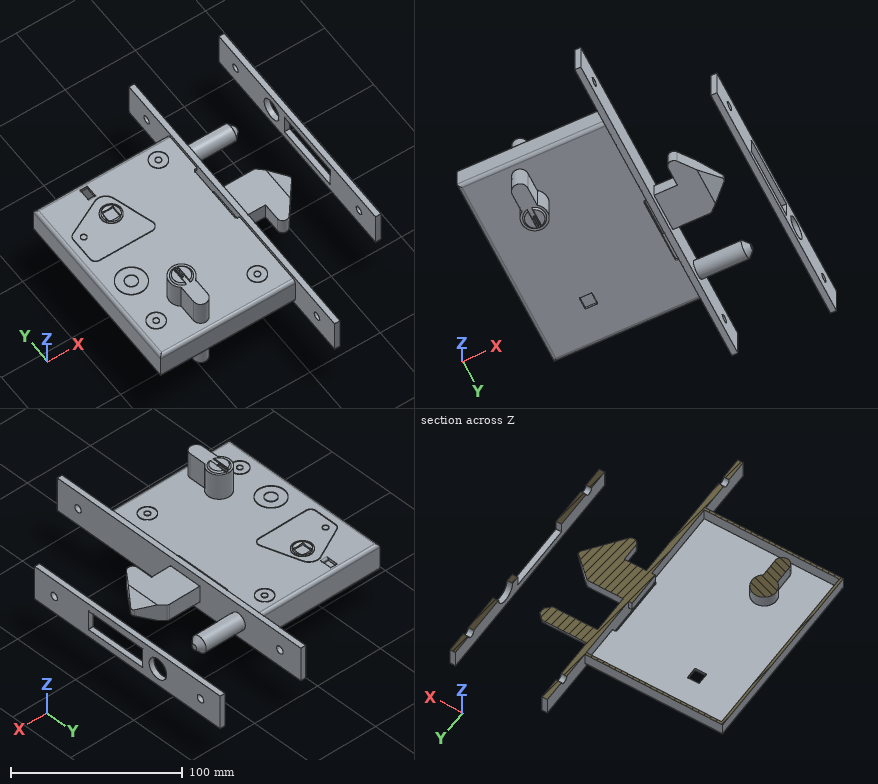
import cadquery as cq
import math


plate_thickness = 4.0
plate_width = 25.0
plate_hole_diameter = 5.5
faceplate_length = 210.0
faceplate_hole_inset = 18.0
strike_length = 160.0
strike_hole_inset = 17.0
strike_bolt_diameter = 15.0
strike_slot_top = 38.0
strike_slot_length = 46.6
strike_slot_width = 14.0
overall_length = 164.0

case_depth = 96.0
case_height = 129.8
case_thickness = 20.2
case_edge_radius = 2.3
wall = 2.0
case_top = case_thickness / 2
recess_depth = 0.52

notch_depth = 2.5
notch_top = 35.3
notch_bottom = -8.0
notch_corner_radius = 1.0

bolt_diameter = 12.0
bolt_y = 51.2
bolt_tip_x = 135.0
bolt_chamfer = 4.0
hook_thickness = 12.0
hook_top = 18.0
hook_bottom = -7.1
hook_shoulder_x = 125.0
hook_tip = (141.1, 3.4)
hook_toe = (115.0, -30.2)
hook_shoulder_radius = 2.0
hook_tip_radius = 2.0
hook_toe_radius = 3.8
hook_bevel_start_x = 129.8
hook_bevel_angle = 20.0

spindle_x = 36.0
spindle_y = 37.0
spindle_square = 8.0
hub_diameter = 14.0
hub_countersink_diameter = 12.0
hub_countersink_depth = 1.0
cover_left = 7.0
cover_bottom = 13.0
cover_side_top = 36.5
cover_crown = (40.7, 53.5)
cover_right = 54.0
cover_corner_radius = 4.0
cover_crown_radius = 7.4
cover_rivet_center = (13.0, 32.1)
rivet_diameter = 4.0
screw_diameter = 12.0
screw_centers = [(80.8, 53.1), (80.8, -47.9), (13.0, -41.8)]
cap_center = (17.6, -9.9)
cap_diameter = 20.0
cap_boss_diameter = 8.5
pocket_left = 30.7
pocket_bottom = 53.5
pocket_width = 5.0
pocket_height = 7.5
pocket_edge_radius = 1.3

cylinder_x = spindle_x
cylinder_y = -34.9
cylinder_diameter = 17.0
cylinder_leg_width = 10.0
cylinder_profile_height = 33.0
cylinder_length = 57.3
plug_diameter = 14.0
plug_height = 1.0
plug_slot_width = 3.0
keyway_width = 1.3
keyway_length = 8.2
keyway_depth = 2.0


def block(x_min, x_max, y_min, y_max, z_min, z_max):
    return cq.Workplane("XY").box(
        x_max - x_min, y_max - y_min, z_max - z_min, centered=False
    ).translate((x_min, y_min, z_min))


def plate(x_min, y_min, length, hole_inset):
    """Flat upright plate with a screw hole near each end."""
    half_width = plate_width / 2
    body = block(x_min, x_min + plate_thickness, y_min, y_min + length, -half_width, half_width)
    for hole_y in (y_min + hole_inset, y_min + length - hole_inset):
        body = body.cut(rod_along_x(plate_hole_diameter, x_min, x_min + plate_thickness, hole_y))
    return body


def rod_along_x(diameter, x_min, x_max, y):
    return cq.Workplane("YZ", origin=(x_min, y, 0)).circle(diameter / 2).extrude(x_max - x_min)


def make_strike_plate():
    x_min = overall_length - plate_thickness
    y_max = faceplate_length / 2
    strike = plate(x_min, y_max - strike_length, strike_length, strike_hole_inset)
    bolt_hole = rod_along_x(strike_bolt_diameter, x_min, overall_length, bolt_y)
    hook_slot = block(
        x_min, overall_length,
        strike_slot_top - strike_slot_length, strike_slot_top,
        -strike_slot_width / 2, strike_slot_width / 2,
    )
    return strike.cut(bolt_hole).cut(hook_slot)


def make_case():
    """Hollow case with rounded long edges on its top and bottom, notched beside the faceplate."""
    half_height = case_height / 2
    case = block(0, case_depth, -half_height, half_height, -case_top, case_top)
    case = case.faces("|Z").edges("not(>X)").fillet(case_edge_radius)
    notch = block(
        case_depth - notch_depth, case_depth, notch_bottom, notch_top, -case_top, case_top
    ).edges("<X and |Z").fillet(notch_corner_radius)
    cavity = block(wall, case_depth, wall - half_height, half_height - wall, wall - case_top, case_top - wall)
    return case.cut(cavity).cut(notch)


def make_bolt():
    bolt = rod_along_x(bolt_diameter, case_depth, bolt_tip_x, bolt_y)
    return bolt.faces(">X").chamfer(bolt_chamfer)


def make_hook():
    """Flat hook with rounded corners, whose point is bevelled on both sides."""
    root_x = case_depth - notch_depth
    corners = [
        (root_x, hook_top),
        (hook_shoulder_x, hook_top),
        hook_tip,
        hook_toe,
        (hook_toe[0], hook_bottom),
        (root_x, hook_bottom),
    ]
    half = hook_thickness / 2
    hook = cq.Workplane("XY").workplane(offset=-half).polyline(corners).close().extrude(hook_thickness)
    rounded = [
        ((hook_shoulder_x, hook_top), hook_shoulder_radius),
        (hook_tip, hook_tip_radius),
        (hook_toe, hook_toe_radius),
    ]
    for (x, y), radius in rounded:
        hook = hook.edges(cq.NearestToPointSelector((x, y, 0))).fillet(radius)

    bevel_length = hook_tip[0] - hook_bevel_start_x
    tip_half = half - bevel_length * math.tan(math.radians(hook_bevel_angle))
    side_outline = [
        (root_x, half),
        (hook_bevel_start_x, half),
        (hook_tip[0], tip_half),
        (hook_tip[0], -tip_half),
        (hook_bevel_start_x, -half),
        (root_x, -half),
    ]
    bevelled = (
        cq.Workplane("XZ").polyline(side_outline).close().extrude(case_height / 2, both=True)
    )
    return hook.intersect(bevelled)


def disc(center, diameter):
    """Shallow disc that fills a recess up to the top of the case."""
    return (
        cq.Workplane("XY", origin=(*center, case_top - recess_depth))
        .circle(diameter / 2)
        .extrude(recess_depth)
    )


def add_ringed_boss(lock, center, outer_diameter, boss_diameter):
    return lock.cut(disc(center, outer_diameter)).union(disc(center, boss_diameter))


def add_spindle_cover(lock):
    """Recessed four-sided cover with a rivet, a hub and the square spindle hole."""
    corners = [
        (cover_left, cover_bottom),
        (cover_left, cover_side_top),
        cover_crown,
        (cover_right, cover_bottom),
    ]
    recess = (
        cq.Workplane("XY", origin=(0, 0, case_top - recess_depth))
        .polyline(corners)
        .close()
        .extrude(recess_depth)
    )
    for x, y in corners:
        radius = cover_crown_radius if (x, y) == cover_crown else cover_corner_radius
        recess = recess.edges("|Z").edges(cq.NearestToPointSelector((x, y, case_top))).fillet(radius)
    lock = lock.cut(recess)

    center = (spindle_x, spindle_y)
    lock = lock.union(disc(cover_rivet_center, rivet_diameter)).union(disc(center, hub_diameter))
    countersink = cq.Workplane(
        cq.Solid.makeCone(
            spindle_square / 2,
            hub_countersink_diameter / 2,
            hub_countersink_depth,
            cq.Vector(*center, case_top - hub_countersink_depth),
        )
    )
    square_hole = cq.Workplane("XY", origin=(*center, 0)).box(
        spindle_square, spindle_square, case_thickness
    )
    return lock.cut(countersink).cut(square_hole)


def cut_cover_pocket(lock):
    """Rectangular opening through the top wall, with a rounded upper edge on its -Y side."""
    pocket = block(
        pocket_left, pocket_left + pocket_width,
        pocket_bottom, pocket_bottom + pocket_height,
        case_top - wall, case_top,
    )
    rounded_edge = cq.NearestToPointSelector((pocket_left + pocket_width / 2, pocket_bottom, case_top))
    return lock.cut(pocket).edges(rounded_edge).fillet(pocket_edge_radius)


def cylinder_profile(length):
    """Euro profile, a round barrel with a round-ended leg, centred on Z = 0."""
    barrel_radius = cylinder_diameter / 2
    leg_radius = cylinder_leg_width / 2
    leg_length = cylinder_profile_height - barrel_radius - leg_radius
    base = cq.Workplane("XY", origin=(cylinder_x, cylinder_y, 0))
    barrel = base.circle(barrel_radius).extrude(length / 2, both=True)
    leg = base.center(0, -leg_length / 2).rect(cylinder_leg_width, leg_length).extrude(length / 2, both=True)
    leg_end = base.center(0, -leg_length).circle(leg_radius).extrude(length / 2, both=True)
    return barrel.union(leg).union(leg_end)


def make_cylinder():
    """Profile cylinder with a slotted, chamfered plug and a keyway at each end."""
    end = cylinder_length / 2
    tip = end + plug_height
    half_slot = plug_slot_width / 2
    plug_radius = plug_diameter / 2
    plug = cq.Workplane(
        cq.Solid.makeCone(plug_radius, plug_radius - plug_height, plug_height, cq.Vector(0, 0, end))
    )
    slot = block(-half_slot, half_slot, -plug_radius, plug_radius, end, tip)
    keyway = block(
        -keyway_width / 2, keyway_width / 2,
        plug_radius - keyway_length, plug_radius,
        end - keyway_depth, end,
    )
    location = (cylinder_x, cylinder_y, 0)
    upper_plug = plug.cut(slot).translate(location)
    upper_keyway = keyway.translate(location)
    cylinder = cylinder_profile(cylinder_length)
    cylinder = cylinder.union(upper_plug).union(upper_plug.mirror("XY"))
    return cylinder.cut(upper_keyway).cut(upper_keyway.mirror("XY"))


def make_lock():
    lock = make_case()
    lock = lock.union(plate(case_depth, -faceplate_length / 2, faceplate_length, faceplate_hole_inset))
    lock = lock.union(make_bolt()).union(make_hook())
    lock = add_spindle_cover(lock)
    lock = add_ringed_boss(lock, cap_center, cap_diameter, cap_boss_diameter)
    for center in screw_centers:
        lock = add_ringed_boss(lock, center, screw_diameter, rivet_diameter)
    lock = cut_cover_pocket(lock)
    return lock.cut(cylinder_profile(case_thickness))


lock = make_lock()
cylinder = make_cylinder()
strike_plate = make_strike_plate()

result = cq.Compound.makeCompound([lock.val(), cylinder.val(), strike_plate.val()])